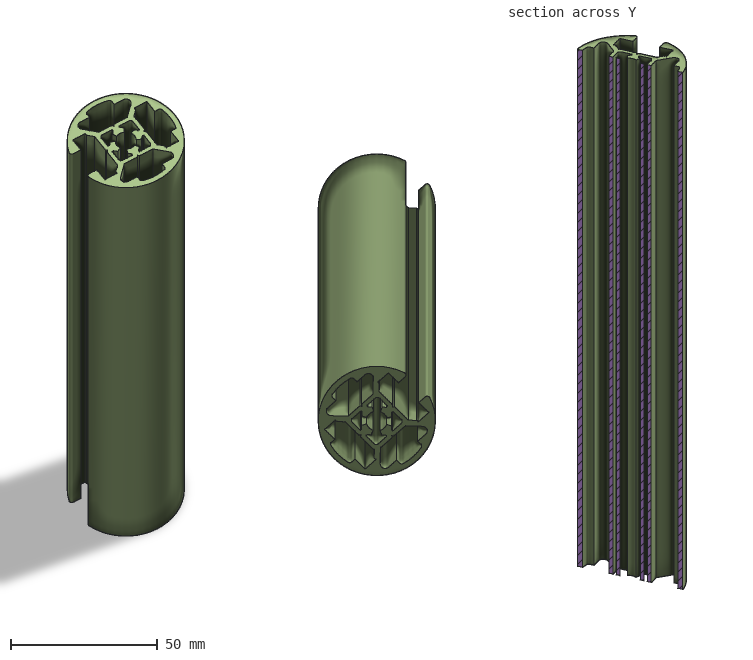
import cadquery as cq
import math

length = 200.0
outer_radius = 20.0

slot_half_width = 5.0
slot_lip_fillet = 1.0
skin_inner_radius = 18.0
slot_end_fillet = 1.0
chamber_half_width = 10.0
chamber_outer_face = 15.0

web_offset_wide = 0.8
web_offset_side = 2.2

side_chamber_half_width = 10.5
side_chamber_fillet = 1.5

core_half_width = 8.0
core_wall = 1.5
core_corner_fillet = 1.0
core_inner_half_width = core_half_width - core_wall
groove_half_width = 0.5
groove_depth = 0.5

screw_hole_radius = 3.5
boss_stem_half_width = 1.5
boss_head_half_width = 2.5
boss_tip_half_width = 1.5
boss_head_distance = 4.8
boss_tip_distance = math.sqrt(screw_hole_radius**2 - boss_tip_half_width**2)
boss_flare_distance = boss_head_distance + boss_head_half_width - boss_stem_half_width

LENGTHWISE = "|Z"

FOUR_SIDES = (0, 90, 180, 270)


def extrude_outline(points):
    """Full-length prism over a closed polygon."""
    return cq.Workplane("XY").polyline(points).close().extrude(length)


def mirrored(half_outline):
    """Closed outline from its +X half, listed from the inner end to the outer end."""
    return half_outline + [(-x, y) for x, y in reversed(half_outline)]


def turned(body, angle):
    """Body turned about the tube axis."""
    return body.rotate((0, 0, 0), (0, 0, 1), angle)


def slot_neck():
    """Straight neck running along +Y from inside the chamber to the outer radius."""
    neck_start = (core_half_width + chamber_outer_face) / 2
    return extrude_outline(mirrored([
        (slot_half_width, neck_start),
        (slot_half_width, outer_radius),
    ]))


def closed_neck():
    """Neck that stops at the thin outer skin, with rounded ends."""
    skin_bore = cq.Workplane("XY").circle(skin_inner_radius).extrude(length)
    neck = slot_neck().intersect(skin_bore)
    return neck.edges(LENGTHWISE).edges(">X or <X").edges(">Y").fillet(slot_end_fillet)


def wide_chamber():
    """Chamber along +Y, with its inner corners running down the webs to the core."""
    return extrude_outline(mirrored([
        (core_half_width - web_offset_wide, core_half_width),
        (chamber_half_width - web_offset_wide, chamber_half_width),
        (chamber_half_width, chamber_half_width),
        (chamber_half_width, chamber_outer_face),
    ]))


def side_chamber():
    """Chamber along +Y, with its pointed ends rounded."""
    chamber = extrude_outline(mirrored([
        (core_half_width - web_offset_side, core_half_width),
        (side_chamber_half_width, side_chamber_half_width + web_offset_side),
        (side_chamber_half_width, chamber_outer_face),
    ]))
    return chamber.edges(LENGTHWISE).edges(">X or <X").fillet(side_chamber_fillet)


def core_groove():
    """Shallow V groove in the outer face of the core wall."""
    return extrude_outline([
        (groove_half_width, core_half_width),
        (-groove_half_width, core_half_width),
        (0, core_half_width - groove_depth),
    ])


def screw_boss():
    """Flared boss reaching from the core wall toward the axis."""
    return extrude_outline(mirrored([
        (boss_tip_half_width, boss_tip_distance),
        (boss_head_half_width, boss_head_distance),
        (boss_stem_half_width, boss_flare_distance),
        (boss_stem_half_width, core_inner_half_width),
    ]))


def core_cavity():
    """Hollow of the core, less the four bosses, plus the screw hole."""
    size = 2 * core_inner_half_width
    cavity = cq.Workplane("XY").rect(size, size).extrude(length)
    cavity = cavity.edges(LENGTHWISE).fillet(core_corner_fillet)
    for angle in FOUR_SIDES:
        cavity = cavity.cut(turned(screw_boss(), angle))
    screw_hole = cq.Workplane("XY").circle(screw_hole_radius).extrude(length)
    return cavity.union(screw_hole)


profile = cq.Workplane("XY").circle(outer_radius).extrude(length)
profile = profile.cut(turned(slot_neck(), 180))
profile = profile.edges(LENGTHWISE).edges("<Y").fillet(slot_lip_fillet)
profile = profile.cut(turned(wide_chamber(), 180))

profile = profile.cut(wide_chamber()).cut(closed_neck())
for angle in (90, 270):
    profile = profile.cut(turned(side_chamber(), angle)).cut(turned(closed_neck(), angle))

profile = profile.cut(core_cavity())
for angle in FOUR_SIDES:
    profile = profile.cut(turned(core_groove(), angle))

result = profile